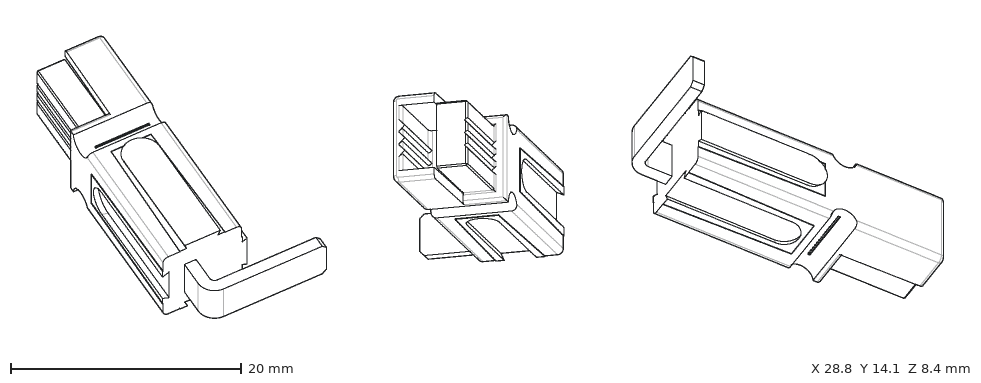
import cadquery as cq
import math

overall_length = 28.75
body_length = 24.7
overcut = 0.3
body_half = 3.9
edge_radius = 0.52
groove_x = 10.0
groove_radius = 1.26
groove_floor = 2.67

flange_x = 8.02
shell_radius = 0.35
flange_radius = 0.3
shell_gap = 0.12
cavity_half = 2.95
cavity_wall_y = 3.05
cavity_radius = 0.3
cavity_end_x = 7.9
nose_front_x = 0.17
nose_half = 2.95
nose_y = 2.85
nose_top_y = 0.05
nose_chamfer = 0.15
nose_base_radius = 0.15
nose_embed = 0.3
rib_pitch = 1.15
rib_tip_y = 2.8
nose_groove_tip_y = 2.6
nose_groove_slope = 0.9

slit_width = 0.2
slit_length = 5.35
slit_depth = 0.15
slit_y = 0.25

pad_front_x = 12.0
pad_height = 0.05
pad_front_half = 1.98
pad_rear_half = 2.25
key_top = 4.45
key_front_x = 12.08
key_half = 1.78
dovetail_angle = 24.0
slot_front_x = 12.4
slot_half = 1.47
slot_depth = 0.65

strip_thickness = 1.15
strip_half_width = 1.9
strip_outer_y = -1.78
strip_tip_y = 10.1
strip_bend_radius = 1.65
strip_tip_chamfer = 0.43
strip_embed = 1.45


def box(x0, x1, y0, y1, z0, z1):
    return cq.Workplane("XY").box(x1 - x0, y1 - y0, z1 - z0, centered=False).translate((x0, y0, z0))


def turn(shape, angle):
    return shape.rotate((0, 0, 0), (1, 0, 0), angle)


def triangle_bar(tip_y, base_y, half_height, z, x0, x1):
    """Triangular bar along X with its tip at tip_y and its base at base_y."""
    return (
        cq.Workplane("YZ", origin=(x0, 0, 0))
        .polyline([(tip_y, z), (base_y, z + half_height), (base_y, z - half_height)])
        .close()
        .extrude(x1 - x0)
    )


def tongue_outline(front_x, half_width, z):
    """Strip with a round front end, running past the rear face of the body."""
    centre_x = front_x + half_width
    rear_x = body_length + 2 * half_width
    return (
        cq.Workplane("XY", origin=(0, 0, z))
        .moveTo(rear_x, -half_width)
        .lineTo(centre_x, -half_width)
        .threePointArc((front_x, 0), (centre_x, half_width))
        .lineTo(rear_x, half_width)
        .close()
    )


def body():
    rear = box(groove_x, body_length, -body_half, body_half, -body_half, body_half)
    rear = rear.edges("|X").fillet(edge_radius)
    flange = box(flange_x, groove_x, -body_half, 0, -body_half, body_half)
    flange = flange.faces("<X").edges("<Y or >Z or <Z").fillet(flange_radius)
    shell = (
        cq.Workplane("XY", origin=(0, 0, -body_half))
        .polyline([(0, shell_gap), (flange_x, 0), (groove_x, 0), (groove_x, body_half), (0, body_half)])
        .close()
        .extrude(2 * body_half)
    )
    shell = shell.edges("|X and >Y").fillet(edge_radius)
    shell = shell.faces("<X").edges("not <Y").fillet(shell_radius)
    return rear.union(flange).union(shell)


def pad():
    return (
        cq.Workplane("XY", origin=(0, 0, body_half - edge_radius))
        .polyline([
            (pad_front_x, -pad_front_half),
            (body_length, -pad_rear_half),
            (body_length, pad_rear_half),
            (pad_front_x, pad_front_half),
        ])
        .close()
        .extrude(edge_radius + pad_height)
    )


def dovetail_key():
    key = tongue_outline(key_front_x, key_half, key_top).extrude(body_half - key_top, taper=dovetail_angle)
    return key.intersect(box(0, body_length, -body_half, body_half, 0, key_top))


def dovetail_slot():
    surface = body_half + pad_height
    undercut = slot_depth * math.tan(math.radians(dovetail_angle))
    floor = tongue_outline(slot_front_x - undercut, slot_half + undercut, surface - slot_depth)
    return floor.extrude(slot_depth, taper=dovetail_angle)


def cross_groove():
    centre_z = groove_floor + groove_radius
    profile = cq.Workplane("XZ").center(groove_x, centre_z).circle(groove_radius)
    groove = profile.extrude(body_half + overcut, both=True)
    slit = cq.Workplane("XY").box(slit_width, slit_length, 2 * slit_depth)
    return groove.union(slit.translate((groove_x, slit_y, groove_floor)))


def shell_cavity():
    """Cavity open towards -Y, its side wall flaring out at the mouth and curving in at the end."""
    r = cavity_radius
    return (
        cq.Workplane("XY", origin=(0, 0, -cavity_half))
        .moveTo(0, -overcut)
        .lineTo(0, cavity_wall_y + r)
        .radiusArc((r, cavity_wall_y), -r)
        .lineTo(cavity_end_x - r, cavity_wall_y)
        .radiusArc((cavity_end_x, cavity_wall_y - r), r)
        .lineTo(cavity_end_x, -overcut)
        .close()
        .extrude(2 * cavity_half)
    )


def nose():
    block = box(nose_front_x, flange_x + nose_embed, -nose_y, -nose_top_y, -nose_half, nose_half)
    return block.faces("<X or <Y").edges("<Y or >Z or <Z").chamfer(nose_chamfer)


def nose_base():
    """Collar that blends the nose into the flange with a concave fillet."""
    r = nose_base_radius
    half = nose_half + r
    collar = box(flange_x - r, flange_x + nose_embed, -nose_y - r, -nose_top_y, -half, half)
    hollow = cq.Workplane("XY", origin=(flange_x - r, 0, 0)).circle(r)
    side = hollow.extrude(half + r, both=True).translate((0, -nose_y - r, 0))
    ends = cq.Workplane("XZ", origin=(flange_x - r, 0, half)).circle(r).extrude(nose_y + 2 * r)
    return collar.cut(side).cut(ends).cut(ends.mirror("XY"))


def contact_strip():
    inner_radius = strip_bend_radius - strip_thickness
    inner_x = overall_length - strip_thickness
    inner_y = strip_outer_y + strip_thickness
    start_x = body_length - strip_embed
    bend_x = overall_length - strip_bend_radius
    bend_y = strip_outer_y + strip_bend_radius
    strip = (
        cq.Workplane("XY", origin=(0, 0, -strip_half_width))
        .moveTo(start_x, strip_outer_y)
        .lineTo(bend_x, strip_outer_y)
        .radiusArc((overall_length, bend_y), -strip_bend_radius)
        .lineTo(overall_length, strip_tip_y)
        .lineTo(inner_x, strip_tip_y)
        .lineTo(inner_x, bend_y)
        .radiusArc((bend_x, inner_y), inner_radius)
        .lineTo(start_x, inner_y)
        .close()
        .extrude(2 * strip_half_width)
    )
    return strip.faces(">Y").edges("|X").chamfer(strip_tip_chamfer)


result = body()
for angle in (0, 90, 180, 270):
    result = result.union(turn(pad(), angle))
for angle in (0, -90):
    result = result.union(turn(dovetail_key(), angle))
for angle in (90, 180):
    result = result.cut(turn(dovetail_slot(), angle))
result = result.cut(cross_groove()).cut(cross_groove().mirror("XY"))

result = result.cut(shell_cavity()).union(nose()).union(nose_base())
rib_base_y = cavity_wall_y + cavity_radius
rib_half = rib_base_y - rib_tip_y
groove_base_y = nose_y + nose_base_radius
groove_half = (groove_base_y - nose_groove_tip_y) * nose_groove_slope
for z in (-rib_pitch, 0, rib_pitch):
    result = result.union(triangle_bar(rib_tip_y, rib_base_y, rib_half, z, 0, cavity_end_x))
    result = result.cut(triangle_bar(-nose_groove_tip_y, -groove_base_y, groove_half, z, 0, flange_x))

result = result.union(contact_strip())